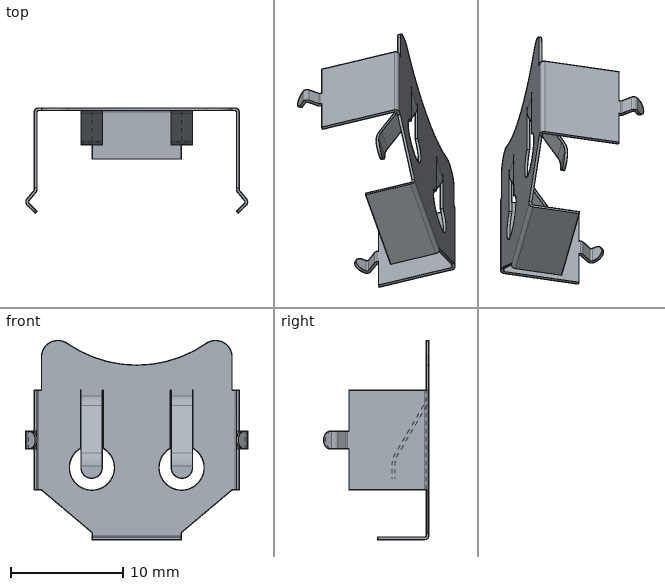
import math

import cadquery as cq


thickness = 0.254
bend_radius = 0.127
outer_bend_radius = bend_radius + thickness
lap = 1.0

height = 17.78
plate_width = 17.02
horn_radius = 1.48
top_dip = 2.2

outer_width = 18.288
wall_height = 8.89
wall_depth = 7.14

tab_width = 7.94
tab_depth = 4.572
tab_neck = 0.24

finger_width = 1.588
finger_span = 19.8
overall_depth = 9.4
finger_straight = 0.13
finger_bend_radius = 0.165
finger_out_angle = 40.0
finger_in_angle = 45.0

tongue_spacing = 8.0
tongue_width = 1.92
tongue_outer_gap = 0.015
tongue_start_z = 3.95
tongue_reach = 3.045
tongue_angle = 30.5
tongue_root_radius = 1.75
tongue_tip_radius = 2.0
slot_width = 2.0
hole_diameter = 4.0
hole_z = -2.46

top_z = height / 2
bottom_z = -height / 2
wall_top_z = wall_height / 2


def sheet_strip(plane, moves, width):
    """Strip of sheet bent along a path in the plane, centred across it.

    The path starts along local +x with the sheet between y = 0 and y = thickness.
    Each move is a (length, bend angle, inside radius): a straight run and then a bend,
    where a positive angle turns towards local +y.
    Returns the strip, its end point and its end heading in local coordinates.
    """
    x, y, heading = 0.0, 0.0, 0.0
    lower = [(x, y)]
    upper = [(x, y + thickness)]
    steps = []

    def normal(angle):
        return -math.sin(angle), math.cos(angle)

    def add_point():
        nx, ny = normal(heading)
        lower.append((x, y))
        upper.append((x + thickness * nx, y + thickness * ny))

    for length, bend_angle, inside_radius in moves:
        x += length * math.cos(heading)
        y += length * math.sin(heading)
        add_point()
        steps.append("line")
        if bend_angle == 0:
            continue
        side = math.copysign(1, bend_angle)
        lower_radius = inside_radius + (thickness if side > 0 else 0)
        nx, ny = normal(heading)
        centre_x = x + side * lower_radius * nx
        centre_y = y + side * lower_radius * ny
        for _ in range(2):
            heading += math.radians(bend_angle) / 2
            nx, ny = normal(heading)
            x = centre_x - side * lower_radius * nx
            y = centre_y - side * lower_radius * ny
            add_point()
        steps.append("arc")

    outline = cq.Workplane(plane).moveTo(*lower[0])
    index = 0
    for step in steps:
        if step == "line":
            index += 1
            outline = outline.lineTo(*lower[index])
        else:
            index += 2
            outline = outline.threePointArc(lower[index - 1], lower[index])
    outline = outline.lineTo(*upper[index])
    for step in reversed(steps):
        if step == "line":
            index -= 1
            outline = outline.lineTo(*upper[index])
        else:
            index -= 2
            outline = outline.threePointArc(upper[index + 1], upper[index])
    strip = outline.close().extrude(width / 2, both=True)
    return strip, (x, y), heading


def round_tip(plane, end, heading, length, width):
    """Flat sheet carrying on from a strip's end: a straight run, then a half-round end."""
    along = plane.toWorldCoords((math.cos(heading), math.sin(heading), 0)) - plane.origin
    across = plane.toWorldCoords((-math.sin(heading), math.cos(heading), 0)) - plane.origin
    tip_plane = cq.Plane(origin=plane.toWorldCoords((*end, 0)), xDir=along, normal=across)
    half = width / 2
    return (
        cq.Workplane(tip_plane)
        .moveTo(0, -half)
        .lineTo(length, -half)
        .threePointArc((length + half, 0), (length, half))
        .lineTo(0, half)
        .close()
        .extrude(thickness)
    )


def make_plate():
    half = plate_width / 2
    horn_x = half - horn_radius
    horn_z = top_z - horn_radius
    centre_distance = (horn_x**2 + top_dip**2) / (2 * top_dip)
    tangent_angle = math.asin(horn_x / centre_distance)
    tangent_x = horn_x - horn_radius * math.sin(tangent_angle)
    tangent_z = horn_z + horn_radius * math.cos(tangent_angle)
    mid_angle = (tangent_angle - math.pi / 2) / 2
    mid_x = horn_x - horn_radius * math.sin(mid_angle)
    mid_z = horn_z + horn_radius * math.cos(mid_angle)
    tab_half = tab_width / 2
    bend_z = bottom_z + outer_bend_radius
    return (
        cq.Workplane("XZ")
        .moveTo(-tab_half, bend_z)
        .lineTo(tab_half, bend_z)
        .lineTo(tab_half, bend_z + tab_neck)
        .lineTo(half, -wall_top_z)
        .lineTo(half, horn_z)
        .threePointArc((mid_x, mid_z), (tangent_x, tangent_z))
        .threePointArc((0, top_z - top_dip), (-tangent_x, tangent_z))
        .threePointArc((-mid_x, mid_z), (-half, horn_z))
        .lineTo(-half, -wall_top_z)
        .lineTo(-tab_half, bend_z + tab_neck)
        .close()
        .extrude(thickness)
    )


def make_flange(root, outward, flange_depth, width):
    """Flange bent 90 degrees forward from the plate; root is where its bend starts."""
    outward = cq.Vector(*outward)
    forward = cq.Vector(0, -1, 0)
    plane = cq.Plane(
        origin=cq.Vector(*root) - outward * lap, xDir=outward, normal=outward.cross(forward)
    )
    moves = [(lap, 90, bend_radius), (flange_depth - outer_bend_radius, 0, 0)]
    return sheet_strip(plane, moves, width)[0]


def make_finger(side):
    """Contact finger on one wall (side is -1 or +1): kicks outward, then folds back in."""
    out_angle = math.radians(finger_out_angle)
    in_angle = math.radians(finger_in_angle)
    bends_offset = (2 * finger_bend_radius + thickness) * (1 - math.cos(out_angle))
    ramp = ((finger_span - outer_width) / 2 - bends_offset) / math.sin(out_angle)
    plane = cq.Plane(
        origin=(side * (outer_width / 2 - thickness), -wall_depth + lap, 0),
        xDir=(0, -1, 0),
        normal=(0, 0, side),
    )
    moves = [
        (lap + finger_straight, finger_out_angle, finger_bend_radius),
        (ramp, -(finger_out_angle + finger_in_angle), finger_bend_radius),
    ]
    strip, end, heading = sheet_strip(plane, moves, finger_width)
    bend_end_depth = wall_depth - lap + end[0] + thickness * math.sin(in_angle)
    tip_length = (overall_depth - bend_end_depth) / math.cos(in_angle) - finger_width / 2
    return strip.union(round_tip(plane, end, heading, tip_length, finger_width))


def make_tongue(side):
    """Spring tongue leaning forward, with a flat round tip centred on the hole's height."""
    angle = math.radians(tongue_angle)
    bend_radii = tongue_root_radius + tongue_tip_radius + thickness
    ramp = (tongue_reach - bend_radii * (1 - math.cos(angle))) / math.sin(angle)
    centre_x = side * (tongue_spacing / 2 + (slot_width - tongue_width) / 2 - tongue_outer_gap)
    plane = cq.Plane(
        origin=(centre_x, 0, wall_top_z + lap), xDir=(0, 0, -1), normal=(-1, 0, 0)
    )
    moves = [
        (wall_top_z + lap - tongue_start_z, tongue_angle, tongue_root_radius),
        (ramp, -tongue_angle, tongue_tip_radius),
    ]
    strip, end, heading = sheet_strip(plane, moves, tongue_width)
    tip_length = wall_top_z + lap - end[0] - hole_z
    return strip.union(round_tip(plane, end, heading, tip_length, tongue_width))


def make_tongue_opening(side):
    """Round hole with a slot running up from it to the tongue's root."""
    centre_x = side * tongue_spacing / 2
    hole = (
        cq.Workplane("XZ")
        .center(centre_x, hole_z)
        .circle(hole_diameter / 2)
        .extrude(thickness)
    )
    slot_length = wall_top_z - hole_z
    slot = (
        cq.Workplane("XZ")
        .center(centre_x, hole_z + slot_length / 2)
        .rect(slot_width, slot_length)
        .extrude(thickness)
    )
    return hole.union(slot)


result = make_plate()
for side in (-1, 1):
    result = result.cut(make_tongue_opening(side))
for side in (-1, 1):
    wall_root = (side * (outer_width / 2 - outer_bend_radius), 0, 0)
    result = result.union(make_flange(wall_root, (side, 0, 0), wall_depth, wall_height))
    result = result.union(make_finger(side))
    result = result.union(make_tongue(side))
tab_root = (0, 0, bottom_z + outer_bend_radius)
result = result.union(make_flange(tab_root, (0, 0, -1), tab_depth, tab_width))